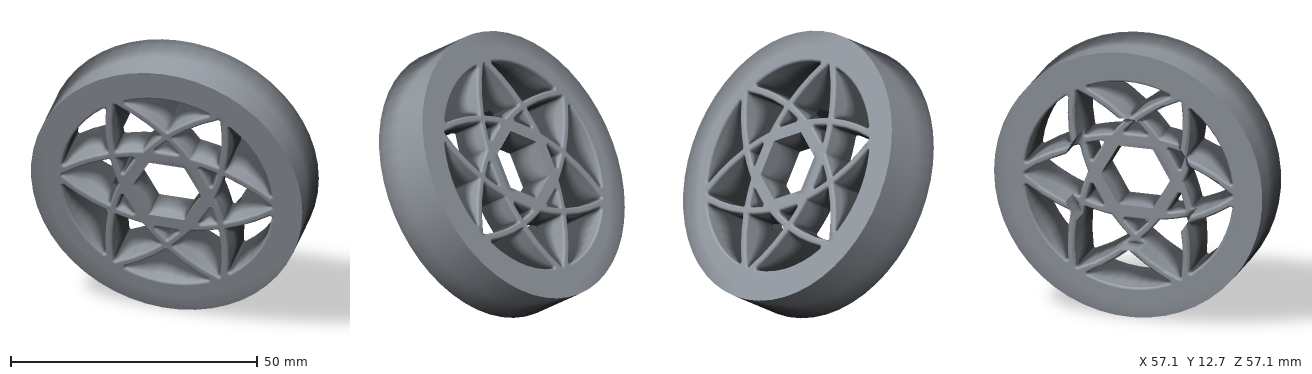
import cadquery as cq
import math

wheel_radius = 57.15 / 2
hub_radius = 50.8 / 2
wheel_width = 12.7
front_y = -wheel_width / 2

rim_inner_radius = 44.45 / 2
core_width = 7.8
recess_radius = 28.575 / 2
hex_bore_across_flats = 12.75
hex_bore_across_corners = hex_bore_across_flats / math.cos(math.radians(30))
core_flat_distance = 9.18

window_count = 6
window_pitch = 360 / window_count
spoke_width = 1.524
spoke_arc_radius = 37.0
spoke_center_distance = wheel_radius
band_inner_radius = spoke_arc_radius - spoke_width / 2
band_outer_radius = spoke_arc_radius + spoke_width / 2

window_corner_radius = 0.35
window_edge_radius = 0.508


def workplane():
    """Plane of the front face, with X to the right and Z up."""
    return cq.Workplane("XZ", origin=(0, front_y, 0))


def disc(radius, width=wheel_width):
    """Disc about the axle, from the front face back."""
    return workplane().circle(radius).extrude(-width)


def band_disc(radius, angle):
    """Disc bounded by one side of the spoke band whose center lies at the given angle."""
    x = spoke_center_distance * math.cos(math.radians(angle))
    z = spoke_center_distance * math.sin(math.radians(angle))
    return disc(radius).translate((x, 0, z))


def rim_window():
    """Window between the rim and two spokes, centered on +X."""
    return (
        disc(rim_inner_radius)
        .cut(band_disc(band_outer_radius, 120))
        .cut(band_disc(band_outer_radius, -120))
    )


def kite_window():
    """Four-sided window centered on +X, with its sharp tip at the rim."""
    return (
        band_disc(band_inner_radius, 90)
        .intersect(band_disc(band_inner_radius, -90))
        .cut(band_disc(band_outer_radius, 150))
        .cut(band_disc(band_outer_radius, -150))
    )


def core_window():
    """Small triangular window centered on +X, with its flat side toward the axle."""
    beyond_flat = (
        workplane()
        .center(core_flat_distance + hub_radius / 2, 0)
        .rect(hub_radius, 2 * hub_radius)
        .extrude(-wheel_width)
    )
    return (
        band_disc(band_inner_radius, 120)
        .intersect(band_disc(band_inner_radius, -120))
        .intersect(beyond_flat)
    )


def make_windows():
    """All window cutters, with rounded corners, at their places around the axle."""
    half_pitch = window_pitch / 2
    patterns = [
        (rim_window(), half_pitch),
        (kite_window(), 0),
        (core_window(), half_pitch),
    ]
    windows = []
    for window, first_angle in patterns:
        rounded = window.edges("|Y").fillet(window_corner_radius)
        for index in range(window_count):
            angle = first_angle + index * window_pitch
            windows.append(rounded.rotate((0, 0, 0), (0, 1, 0), angle).val())
    return windows


def is_window_edge(edge):
    """True for every edge but the outer circle of the hub."""
    on_outer_circle = edge.geomType() == "CIRCLE" and math.isclose(edge.radius(), hub_radius)
    return not on_outer_circle


def make_spokes(width):
    """Spoked disc with the window edges rounded on both faces."""
    spokes = cq.Workplane(disc(hub_radius, width).val().cut(*make_windows()))
    window_edges = spokes.faces("<Y or >Y").edges().filter(is_window_edge)
    return window_edges.fillet(window_edge_radius)


def make_hub():
    """Full-width spokes around a thinner center, whose window edges are rounded too."""
    center = make_spokes(core_width).intersect(disc(recess_radius))
    surround = make_spokes(wheel_width).cut(disc(recess_radius))
    hex_bore = workplane().polygon(6, hex_bore_across_corners).extrude(-wheel_width)
    return surround.union(center).cut(hex_bore)


def make_tread():
    """Plain ring around the hub."""
    return disc(wheel_radius).cut(disc(hub_radius))


hub = make_hub()
tread = make_tread()

result = cq.Compound.makeCompound([hub.val(), tread.val()])